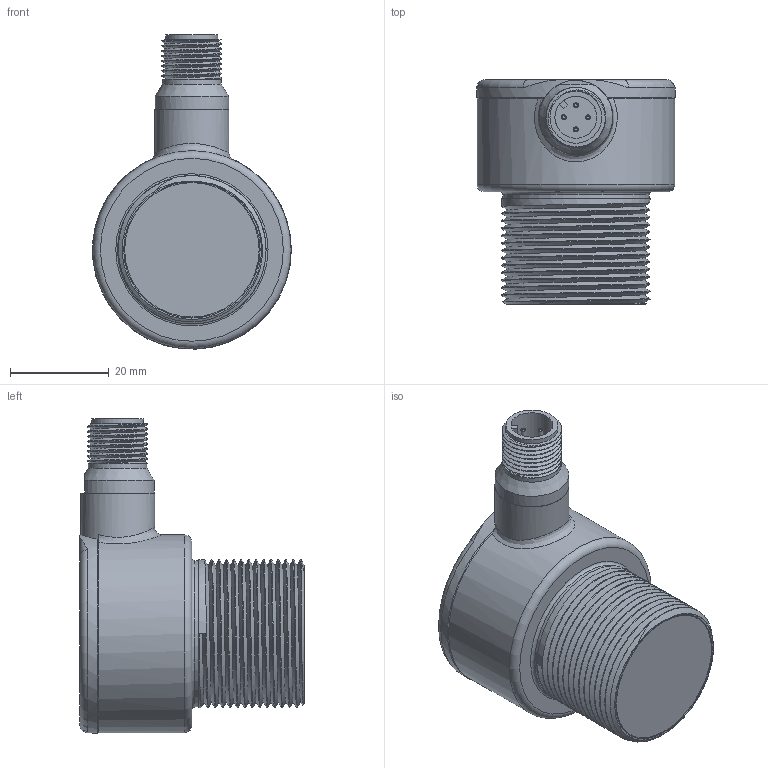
import math

import cadquery as cq

HEAD_RADIUS = 20.0
HEAD_DEPTH = 22.66
HEAD_FILLET = 1.5

CAP_DEPTH = 3.8
CAP_LIP_BEVEL = 0.2
CAP_SEAM_RADIUS = 20.12
CAP_FILLET = 1.7
CAP_PEAK_TANGENT_ANGLE = 32.0

BARREL_RADIUS = 15.0
BARREL_END_Y = -45.42
BARREL_PITCH = 1.5
BARREL_THREAD_DEPTH = 1.15
BARREL_TIP_RADIUS = 14.1
BARREL_TIP_LENGTH = 0.6
FACE_GROOVE_OUTER_RADIUS = 13.8
FACE_GROOVE_INNER_RADIUS = 13.6
FACE_GROOVE_DEPTH = 0.2
NECK_RADIUS = 14.8
NECK_LENGTH = 1.4
NECK_FILLET = 0.6
BARREL_START_Y = -HEAD_DEPTH - NECK_LENGTH
BARREL_GROOVE_START_Y = BARREL_START_Y - BARREL_PITCH / 2

STEM_RADIUS = 7.5
STEM_Y = -7.66
STEM_TOP_Z = 28.45
STEM_FILLET = 1.5
COLLAR_RADIUS = 7.45
COLLAR_TOP_Z = 31.05
COLLAR_FLAT_DISTANCE = 6.65
CONE_TOP_Z = 33.5
UNDERCUT_RADIUS = 5.95

PLUG_THREAD_RADIUS = 6.05
PLUG_THREAD_BOTTOM_Z = 34.5
PLUG_THREAD_TOP_Z = 42.5
PLUG_TOP_Z = 43.47
PLUG_TIP_RADIUS = 5.25
PLUG_PITCH = 1.0
PLUG_GROOVE_START_Z = 33.15
PLUG_THREAD_DEPTH = 0.7

SOCKET_RADIUS = 4.25
SOCKET_DEPTH = 8.5
PIN_RADIUS = 0.5
PIN_CIRCLE_RADIUS = 2.45
PIN_TIP_DROP = 2.2
PIN_TIP_CHAMFER = 0.2
PIN_COUNT = 4
KEY_WIDTH = 1.1
KEY_INNER_RADIUS = 3.0
KEY_DROP = 0.5
KEY_ANGLE = 135.0

CREST_FLAT = 0.15
GROOVE_RUNOUT_TURNS = 2
BAR_OVERHANG = 4.0
GROOVE_OVERCUT = 0.1


def threaded_bar(crest_radius, depth, pitch, length):
    """Bar along local +Z with a right-hand V groove starting on local +X at height zero.

    The groove covers the given length, and the bar stands out beyond it at both ends.
    """
    root_radius = crest_radius - depth
    outer_radius = crest_radius + GROOVE_OVERCUT
    flank_slope = (pitch - CREST_FLAT) / 2 / depth
    half_width = flank_slope * (outer_radius - root_radius)
    helix = cq.Wire.makeHelix(pitch, length, root_radius)
    groove = (
        cq.Workplane("XZ")
        .moveTo(root_radius, 0)
        .lineTo(outer_radius, half_width)
        .lineTo(outer_radius, -half_width)
        .close()
        .sweep(cq.Workplane(helix), isFrenet=True)
    )
    bar = (
        cq.Workplane("XY", origin=(0, 0, -BAR_OVERHANG))
        .circle(crest_radius)
        .extrude(length + 2 * BAR_OVERHANG)
    )
    return bar.cut(groove)


def make_housing():
    """Main drum with the front half of the stem blended into it."""
    drum = (
        cq.Workplane("XZ", origin=(0, -CAP_DEPTH, 0))
        .circle(HEAD_RADIUS)
        .extrude(HEAD_DEPTH - CAP_DEPTH)
        .faces("<Y")
        .edges()
        .fillet(HEAD_FILLET)
    )
    behind_seam = cq.Workplane("XY", origin=(0, -CAP_DEPTH, 0)).box(
        2 * STEM_RADIUS, CAP_DEPTH, STEM_TOP_Z, centered=(True, False, False)
    )
    joined = drum.union(make_stem().cut(behind_seam))
    front_of_root = (0, STEM_Y - STEM_RADIUS, HEAD_RADIUS)
    root = joined.edges(cq.selectors.NearestToPointSelector(front_of_root))
    return root.fillet(STEM_FILLET)


def make_cap():
    """Flared rear cap whose rounded back edge fades out below the stem."""
    lip_y = CAP_LIP_BEVEL - CAP_DEPTH
    flared_disc = (
        cq.Workplane("XY")
        .lineTo(HEAD_RADIUS, 0)
        .lineTo(CAP_SEAM_RADIUS, lip_y)
        .lineTo(HEAD_RADIUS, -CAP_DEPTH)
        .lineTo(0, -CAP_DEPTH)
        .close()
        .revolve(360, (0, 0, 0), (0, 1, 0))
    )
    tangent = math.radians(CAP_PEAK_TANGENT_ANGLE)
    flare_angle = math.degrees(math.atan2(CAP_SEAM_RADIUS - HEAD_RADIUS, -lip_y))
    tangent_x = HEAD_RADIUS * math.sin(tangent)
    tangent_z = HEAD_RADIUS * math.cos(tangent)
    teardrop = (
        cq.Workplane("XZ")
        .moveTo(tangent_x, tangent_z)
        .threePointArc((0, -HEAD_RADIUS), (-tangent_x, tangent_z))
        .lineTo(0, HEAD_RADIUS / math.cos(tangent))
        .close()
        .extrude(CAP_DEPTH, taper=-flare_angle)
        .faces(">Y")
        .edges()
        .fillet(CAP_FILLET)
    )
    return flared_disc.intersect(teardrop)


def make_neck():
    """Neck between the head and the barrel, with a fillet against the head."""
    profile = (
        cq.Workplane("XY")
        .moveTo(0, -HEAD_DEPTH)
        .lineTo(NECK_RADIUS + NECK_FILLET, -HEAD_DEPTH)
        .radiusArc((NECK_RADIUS, -HEAD_DEPTH - NECK_FILLET), -NECK_FILLET)
        .lineTo(NECK_RADIUS, BARREL_START_Y)
        .lineTo(0, BARREL_START_Y)
        .close()
    )
    return profile.revolve(360, (0, 0, 0), (0, 1, 0))


def make_barrel():
    """Threaded barrel with a bevelled tip."""
    envelope = (
        cq.Workplane("XY")
        .moveTo(0, BARREL_START_Y)
        .lineTo(BARREL_RADIUS, BARREL_START_Y)
        .lineTo(BARREL_RADIUS, BARREL_END_Y + BARREL_TIP_LENGTH)
        .lineTo(BARREL_TIP_RADIUS, BARREL_END_Y)
        .lineTo(0, BARREL_END_Y)
        .close()
        .revolve(360, (0, 0, 0), (0, 1, 0))
    )
    groove_length = BARREL_GROOVE_START_Y - BARREL_END_Y + GROOVE_RUNOUT_TURNS * BARREL_PITCH
    bar = threaded_bar(BARREL_RADIUS, BARREL_THREAD_DEPTH, BARREL_PITCH, groove_length)
    start_plane = cq.Plane(
        origin=(0, BARREL_GROOVE_START_Y, 0), xDir=(-1, 0, 0), normal=(0, -1, 0)
    )
    barrel = cq.Workplane(bar.val().moved(start_plane.location)).intersect(envelope)
    face_groove = (
        cq.Workplane("XZ", origin=(0, BARREL_END_Y + FACE_GROOVE_DEPTH, 0))
        .circle(FACE_GROOVE_OUTER_RADIUS)
        .circle(FACE_GROOVE_INNER_RADIUS)
        .extrude(FACE_GROOVE_DEPTH)
    )
    return barrel.cut(face_groove)


def make_stem():
    """Plain round stem from the middle of the head up to the collar."""
    return cq.Workplane("XY").center(0, STEM_Y).circle(STEM_RADIUS).extrude(STEM_TOP_Z)


def make_collar():
    """Collar and cone above the stem, centred on X = Y = 0, with a flat on the back."""
    body = (
        cq.Workplane("XZ")
        .moveTo(0, STEM_TOP_Z)
        .lineTo(COLLAR_RADIUS, STEM_TOP_Z)
        .lineTo(COLLAR_RADIUS, COLLAR_TOP_Z)
        .lineTo(UNDERCUT_RADIUS, CONE_TOP_Z)
        .lineTo(UNDERCUT_RADIUS, PLUG_THREAD_BOTTOM_Z)
        .lineTo(0, PLUG_THREAD_BOTTOM_Z)
        .close()
        .revolve(360, (0, 0, 0), (0, 1, 0))
    )
    flat_cutter = cq.Workplane("XY").box(
        2 * COLLAR_RADIUS, COLLAR_RADIUS, PLUG_TOP_Z, centered=(True, False, False)
    )
    return body.cut(flat_cutter.translate((0, COLLAR_FLAT_DISTANCE, 0)))


def make_plug_thread():
    """M12 threaded length with its plain tip, centred on X = Y = 0."""
    envelope = (
        cq.Workplane("XY", origin=(0, 0, PLUG_THREAD_BOTTOM_Z))
        .circle(PLUG_THREAD_RADIUS)
        .extrude(PLUG_THREAD_TOP_Z - PLUG_THREAD_BOTTOM_Z)
    )
    groove_length = PLUG_THREAD_TOP_Z - PLUG_GROOVE_START_Z + GROOVE_RUNOUT_TURNS * PLUG_PITCH
    bar = threaded_bar(PLUG_THREAD_RADIUS, PLUG_THREAD_DEPTH, PLUG_PITCH, groove_length)
    thread = bar.translate((0, 0, PLUG_GROOVE_START_Z)).intersect(envelope)
    tip = (
        cq.Workplane("XY", origin=(0, 0, PLUG_THREAD_TOP_Z))
        .circle(PLUG_TIP_RADIUS)
        .extrude(PLUG_TOP_Z - PLUG_THREAD_TOP_Z)
    )
    return thread.union(tip)


def make_socket_cutter():
    """Socket bore without the volume of the pins and the coding key."""
    floor_z = PLUG_TOP_Z - SOCKET_DEPTH
    bore = cq.Workplane("XY", origin=(0, 0, floor_z)).circle(SOCKET_RADIUS).extrude(SOCKET_DEPTH)
    pins = (
        cq.Workplane("XY", origin=(0, 0, floor_z))
        .polarArray(PIN_CIRCLE_RADIUS, 0, 360, PIN_COUNT)
        .circle(PIN_RADIUS)
        .extrude(SOCKET_DEPTH - PIN_TIP_DROP)
        .faces(">Z")
        .chamfer(PIN_TIP_CHAMFER)
    )
    key = (
        cq.Workplane("XY")
        .box(SOCKET_RADIUS, KEY_WIDTH, SOCKET_DEPTH - KEY_DROP, centered=(False, True, False))
        .translate((KEY_INNER_RADIUS, 0, floor_z))
        .rotate((0, 0, 0), (0, 0, 1), KEY_ANGLE)
    )
    return bore.cut(pins).cut(key)


connector = make_collar().union(make_plug_thread()).cut(make_socket_cutter()).translate((0, STEM_Y, 0))
result = (
    make_housing()
    .union(make_cap())
    .union(make_stem())
    .union(make_neck())
    .union(make_barrel())
    .union(connector)
)